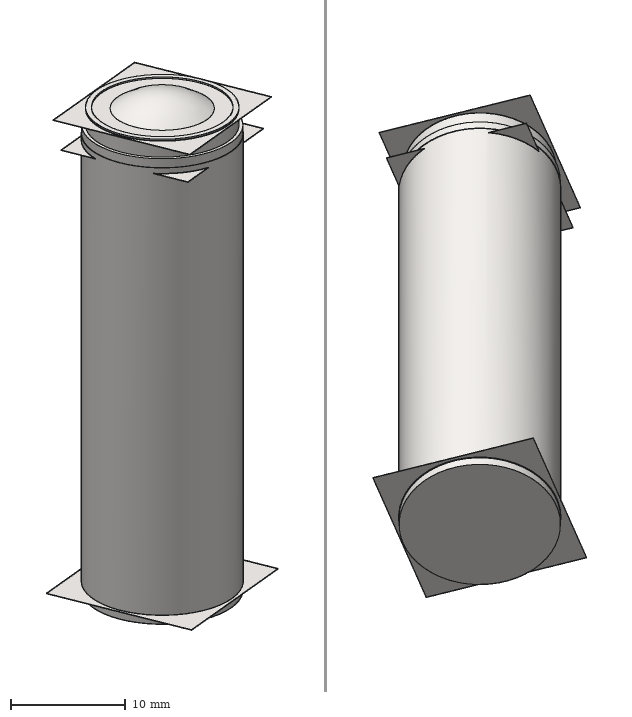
import cadquery as cq
import math

total_height = 48.0
plate_thickness = 0.05

cell_radius = 7.05
shoulder_z = 44.95
neck_radius = 6.7
rim_inner_radius = 6.2
rim_top_z = 46.65
top_plate_side = 13.9
top_plate_z = 46.5
dome_radius = 4.55

sleeve_radius = 7.1
sleeve_bottom_z = 0.85
sleeve_top_z = 44.05
bottom_plate_side = 14.8
upper_plate_side = 12.9
upper_plate_z = 43.5


def cylinder(radius, bottom_z, top_z):
    return cq.Workplane("XY").workplane(offset=bottom_z).circle(radius).extrude(top_z - bottom_z)


def square_plate(side, bottom_z):
    return cq.Workplane("XY").workplane(offset=bottom_z).rect(side, side).extrude(plate_thickness)


def make_dome():
    """Spherical cap standing on the top plate."""
    rise = total_height - top_plate_z
    sphere_radius = (dome_radius**2 + rise**2) / (2 * rise)
    sphere_center_z = total_height - sphere_radius
    mid_radius = dome_radius / 2
    mid_z = sphere_center_z + math.sqrt(sphere_radius**2 - mid_radius**2)
    return (
        cq.Workplane("XZ")
        .moveTo(0, top_plate_z)
        .lineTo(dome_radius, top_plate_z)
        .threePointArc((mid_radius, mid_z), (0, total_height))
        .close()
        .revolve(360, (0, 0, 0), (0, 1, 0))
    )


def make_cell():
    body = cylinder(cell_radius, 0, shoulder_z)
    neck = cylinder(neck_radius, shoulder_z, rim_top_z)
    rim_recess = cylinder(rim_inner_radius, top_plate_z, rim_top_z)
    plate = square_plate(top_plate_side, top_plate_z - plate_thickness)
    return body.union(neck.cut(rim_recess)).union(plate).union(make_dome())


def make_sleeve():
    tube = cylinder(sleeve_radius, sleeve_bottom_z, sleeve_top_z)
    bottom_plate = square_plate(bottom_plate_side, sleeve_bottom_z)
    upper_plate = square_plate(upper_plate_side, upper_plate_z)
    bore = cylinder(cell_radius, sleeve_bottom_z, sleeve_top_z)
    return tube.union(bottom_plate).union(upper_plate).cut(bore)


cell = make_cell()
sleeve = make_sleeve()

result = cq.Compound.makeCompound([cell.solids().val(), sleeve.solids().val()])